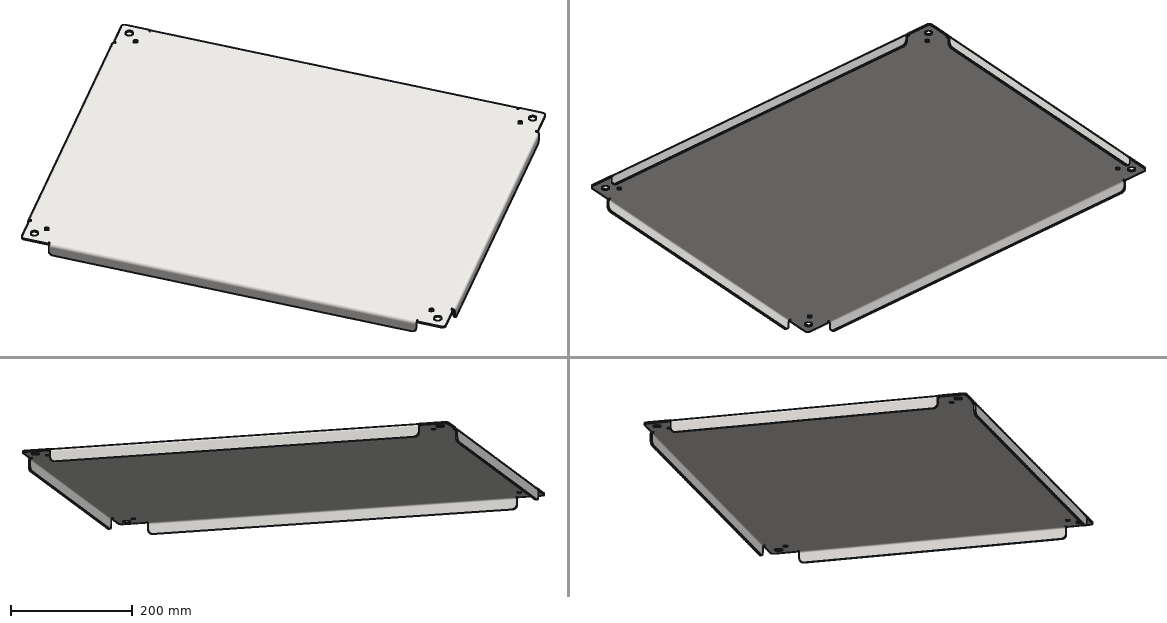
import cadquery as cq

length = 735.0
width = 557.0
height = 22.0

sheet = 3.0
bend_radius = 6.0

plate_inset = 3.0
plate_corner_radius = 6.0

long_flange_setback = 51.5
short_flange_setback = 50.0
flange_corner_radius = 8.0
relief_width = 1.5

mounting_hole_diameter = 12.5
mounting_hole_inset = 20.5
pilot_hole_diameter = 7.1
pilot_hole_inset = 37.0


def make_plate():
    """Flat plate with its top at Z = 0, notched where the folds begin."""
    plate = (
        cq.Workplane("XY")
        .box(length - 2 * plate_inset, width - 2 * plate_inset, sheet, centered=(True, True, False))
        .edges("|Z")
        .fillet(plate_corner_radius)
    )
    for flange_length, span, angle in flanges:
        fold_strip = (
            cq.Workplane("XY")
            .box(flange_length + 2 * relief_width, bend_radius, sheet, centered=(True, False, False))
            .translate((0, -span / 2, 0))
        )
        for turn in (angle, angle + 180):
            plate = plate.cut(fold_strip.rotate((0, 0, 0), (0, 0, 1), turn))
    return plate.translate((0, 0, -sheet))


def make_flange(flange_length, span):
    """Rounded fold and downward flange along the -Y side."""
    outer = -span / 2
    inner = outer + sheet
    fold = outer + bend_radius
    inner_radius = bend_radius - sheet
    diagonal = 0.5 ** 0.5
    profile = (
        cq.Workplane("YZ")
        .moveTo(fold, 0)
        .threePointArc(
            (fold - bend_radius * diagonal, -bend_radius + bend_radius * diagonal),
            (outer, -bend_radius),
        )
        .lineTo(outer, -height)
        .lineTo(inner, -height)
        .lineTo(inner, -bend_radius)
        .threePointArc(
            (fold - inner_radius * diagonal, -bend_radius + inner_radius * diagonal),
            (fold, -sheet),
        )
        .close()
    )
    flange = profile.extrude(flange_length / 2, both=True)
    return flange.faces("<Z").edges("|Y").fillet(flange_corner_radius)


def corner_holes(diameter, inset):
    """Four through-hole cutters, one near each corner of the plate."""
    return (
        cq.Workplane("XY")
        .rect(length - 2 * inset, width - 2 * inset, forConstruction=True)
        .vertices()
        .circle(diameter / 2)
        .extrude(-sheet)
    )


flanges = (
    (length - 2 * long_flange_setback, width, 0),
    (width - 2 * short_flange_setback, length, 90),
)

panel = make_plate()
for flange_length, span, angle in flanges:
    flange = make_flange(flange_length, span)
    for turn in (angle, angle + 180):
        panel = panel.union(flange.rotate((0, 0, 0), (0, 0, 1), turn))

panel = panel.cut(corner_holes(mounting_hole_diameter, mounting_hole_inset))
result = panel.cut(corner_holes(pilot_hole_diameter, pilot_hole_inset))